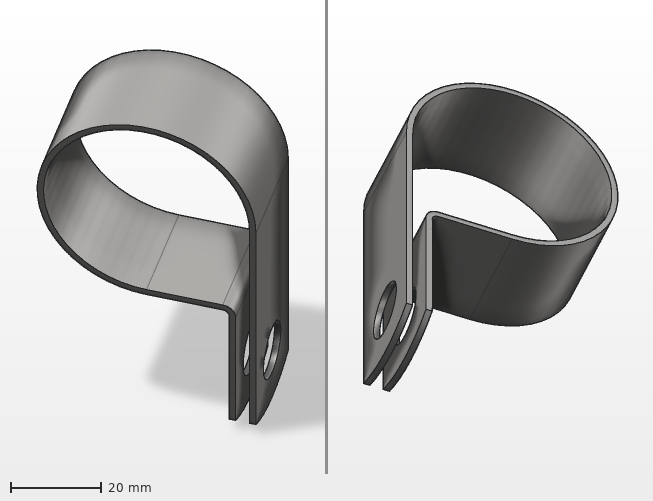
import cadquery as cq
import math

width = 25.4
thickness = 1.5
loop_diameter = 50.67
overall_height = 86.42

leg_gap = 3.2
bend_outer_radius = 3.0
hole_diameter = 13.5
hole_height = 14.27
tip_rise = 3.0

outer_radius = loop_diameter / 2
inner_radius = outer_radius - thickness
bend_inner_radius = bend_outer_radius - thickness
foot_z = outer_radius - overall_height
long_leg_inner_x = inner_radius
short_leg_outer_x = long_leg_inner_x - leg_gap
short_leg_inner_x = short_leg_outer_x - thickness
bend_x = short_leg_outer_x - bend_outer_radius
bend_z = -inner_radius - bend_outer_radius

diagonal = math.sqrt(0.5)


def strap_band():
    """Loop centred on the origin, with its two legs hanging down."""
    profile = (
        cq.Workplane("XZ")
        .moveTo(outer_radius, foot_z)
        .lineTo(outer_radius, 0)
        .threePointArc((0, outer_radius), (-outer_radius, 0))
        .threePointArc((-outer_radius * diagonal, -outer_radius * diagonal), (0, -outer_radius))
        .lineTo(bend_x, -outer_radius)
        .threePointArc(
            (bend_x + bend_inner_radius * diagonal, bend_z + bend_inner_radius * diagonal),
            (short_leg_inner_x, bend_z),
        )
        .lineTo(short_leg_inner_x, foot_z)
        .lineTo(short_leg_outer_x, foot_z)
        .lineTo(short_leg_outer_x, bend_z)
        .threePointArc(
            (bend_x + bend_outer_radius * diagonal, bend_z + bend_outer_radius * diagonal),
            (bend_x, -inner_radius),
        )
        .lineTo(0, -inner_radius)
        .threePointArc((-inner_radius * diagonal, -inner_radius * diagonal), (-inner_radius, 0))
        .threePointArc((0, inner_radius), (inner_radius, 0))
        .lineTo(long_leg_inner_x, foot_z)
        .close()
    )
    return profile.extrude(width / 2, both=True)


def side_outline():
    """Block as seen along X: straight sides and a rounded tip across the legs."""
    corner_z = foot_z + tip_rise
    return (
        cq.Workplane("YZ")
        .moveTo(-width / 2, corner_z)
        .threePointArc((0, foot_z), (width / 2, corner_z))
        .lineTo(width / 2, outer_radius)
        .lineTo(-width / 2, outer_radius)
        .close()
        .extrude(outer_radius, both=True)
    )


def bolt_hole():
    """Cylinder along X through both legs."""
    return (
        cq.Workplane("YZ")
        .center(0, foot_z + hole_height)
        .circle(hole_diameter / 2)
        .extrude(outer_radius)
    )


result = strap_band().intersect(side_outline()).cut(bolt_hole())